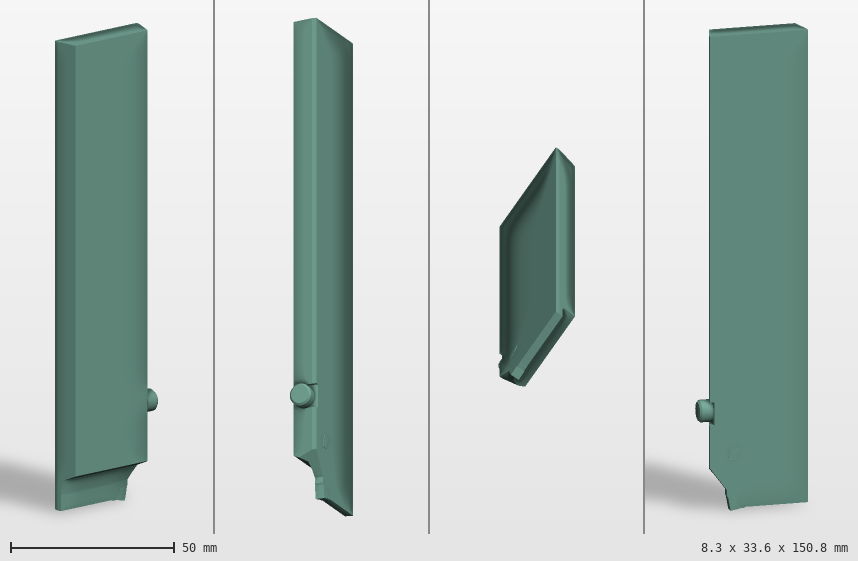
import cadquery as cq
import math


total_length = 150.8
blade_bottom = 0.9
blade_thickness = 8.1
blade_width = 30.9
edge_land = 1.4
bevel_angle = 15.0
bevel_drop = (blade_thickness - edge_land) * math.tan(math.radians(bevel_angle))

neck_thickness = 2.5
neck_straight_top = 6.0
shoulder_start_x = 3.5
neck_curve_depth = 0.2
shoulder_start_z = 10.9
shoulder_top = 13.1

corner_top = 13.9
corner_bottom = 6.5

screw_diameter = 7.0
screw_top = 33.6
screw_x = 4.4
screw_z = 31.0
screw_chamfer = 0.6
slot_width = 7.4
slot_floor = 29.5

insert_length = 20.2
insert_back = 20.0
insert_front = 25.5
tip_y = 24.5
end_relief = 0.6
chip_face_length = 4.0
chip_face_y = 25.2
head_inner_y = 22.6
head_inner_z = 3.2
head_back_y = 21.3
head_overhang = 0.2


def make_blank():
    """Blade with a bevel behind each narrow edge."""
    section = [
        (0, 0),
        (edge_land, 0),
        (blade_thickness, bevel_drop),
        (blade_thickness, blade_width - bevel_drop),
        (edge_land, blade_width),
        (0, blade_width),
    ]
    blank = cq.Workplane("XY").workplane(offset=blade_bottom).polyline(section).close()
    return blank.extrude(total_length - blade_bottom)


def make_neck_cut():
    """Material removed to thin the blade near the insert."""
    middle_x = (neck_thickness + shoulder_start_x) / 2 - neck_curve_depth
    middle_z = (neck_straight_top + shoulder_start_z) / 2
    return (
        cq.Workplane("XZ")
        .moveTo(neck_thickness, 0)
        .lineTo(neck_thickness, neck_straight_top)
        .threePointArc((middle_x, middle_z), (shoulder_start_x, shoulder_start_z))
        .lineTo(blade_thickness, shoulder_top)
        .lineTo(blade_thickness, 0)
        .close()
        .extrude(-blade_width)
    )


def make_corner_cut():
    """Sloped corner and the open space in front of the insert."""
    outline = [
        (insert_back, 0),
        (blade_width, 0),
        (blade_width, corner_top),
        (insert_front, corner_bottom),
        (insert_back, corner_bottom),
    ]
    return cq.Workplane("YZ").polyline(outline).close().extrude(blade_thickness)


def make_screw():
    """Chamfered screw head rising from the slot floor along Y."""
    return (
        cq.Workplane("XZ", origin=(screw_x, slot_floor, screw_z))
        .circle(screw_diameter / 2)
        .extrude(slot_floor - screw_top)
        .faces(">Y")
        .chamfer(screw_chamfer)
    )


def make_head(at_top):
    """Wide cutting head at one end of the insert."""
    outline = [
        (head_back_y, end_relief),
        (tip_y, 0),
        (chip_face_y, chip_face_length),
        (head_inner_y, chip_face_length),
        (head_inner_y, head_inner_z),
    ]
    if at_top:
        outline = [(y, insert_length - z) for y, z in outline]
    head = cq.Workplane("YZ").workplane(offset=-head_overhang).polyline(outline).close()
    return head.extrude(neck_thickness + 2 * head_overhang)


def make_insert():
    """Flat insert body with a cutting head at each end."""
    lower = [
        (insert_back, end_relief),
        (head_back_y, end_relief),
        (tip_y, 0),
        (chip_face_y, chip_face_length),
        (insert_front, chip_face_length + end_relief),
    ]
    upper = [(y, insert_length - z) for y, z in reversed(lower)]
    body = cq.Workplane("YZ").polyline(lower + upper).close().extrude(neck_thickness)
    for at_top in (False, True):
        body = body.union(make_head(at_top))
    return body


def make_holder(insert):
    """Blade with its screw and a recess that matches the insert."""
    slot = cq.Workplane("XY").box(
        blade_thickness, blade_width - slot_floor, slot_width, centered=(False, False, True)
    ).translate((0, slot_floor, screw_z))
    blade = make_blank().cut(make_neck_cut()).cut(make_corner_cut())
    return blade.cut(slot).union(make_screw()).cut(insert)


insert = make_insert()
holder = make_holder(insert)

result = cq.Compound.makeCompound([holder.val(), insert.val()])